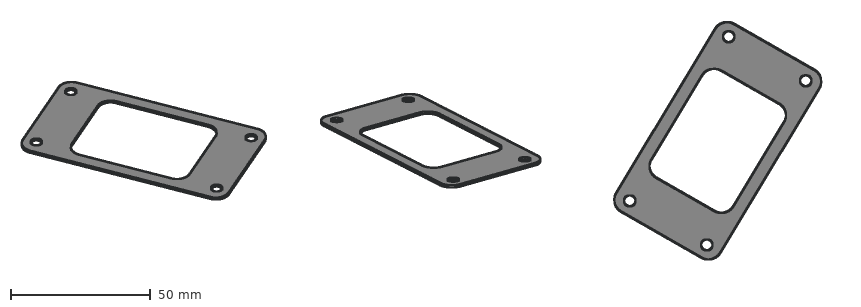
import cadquery as cq

plate_length = 80.0
plate_width = 43.3
plate_thickness = 1.0
plate_corner_radius = 5.0

window_length = 45.8
window_width = 34.0
window_corner_radius = 5.0

hole_diameter = 4.1
hole_spacing_x = 70.0
hole_spacing_y = 32.0


def rounded_plate(length, width, corner_radius):
    """Flat plate of the common thickness, resting on Z = 0, with rounded corners."""
    blank = cq.Workplane("XY").rect(length, width).extrude(plate_thickness)
    return blank.edges("|Z").fillet(corner_radius)


plate = rounded_plate(plate_length, plate_width, plate_corner_radius)
window = rounded_plate(window_length, window_width, window_corner_radius)
mounting_holes = (
    cq.Workplane("XY")
    .rect(hole_spacing_x, hole_spacing_y, forConstruction=True)
    .vertices()
    .circle(hole_diameter / 2)
    .extrude(plate_thickness)
)

result = plate.cut(window).cut(mounting_holes)